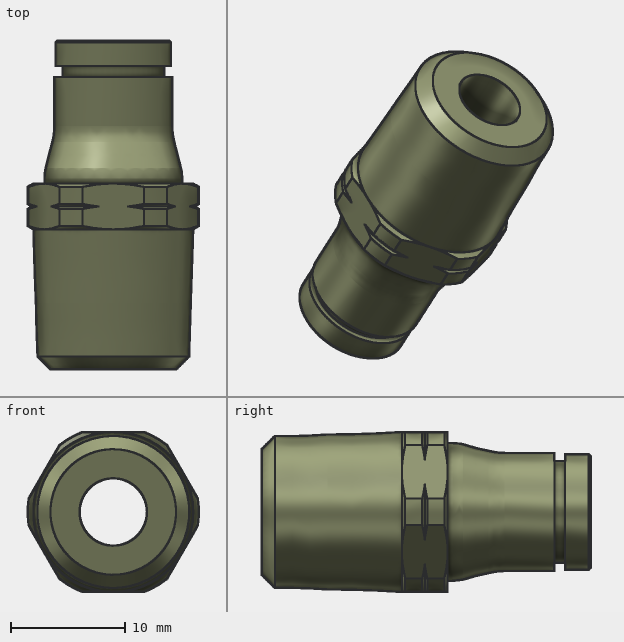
import cadquery as cq
import math

length = 28.8
bore_radius = 2.95

plug_end_radius = 5.5
plug_chamfer_radius = 6.65
plug_chamfer_y = plug_chamfer_radius - plug_end_radius
plug_middle_radius = 6.8
plug_middle_y = 5.8
plug_root_radius = 14.03 / 2

hex_start_y = 12.27
hex_width = 4.0
hex_end_y = hex_start_y + hex_width
hex_middle_y = hex_start_y + hex_width / 2
hex_across_flats = 14.0
hex_corner_radius = 15.0 / 2
hex_face_radius = hex_across_flats / 2
hex_corner_diameter = hex_across_flats / math.cos(math.pi / 6)
groove_root_radius = 7.1
chamfer_angle = 30
chamfer_slope = math.tan(math.radians(chamfer_angle))
hex_chamfer_width = (hex_corner_radius - hex_face_radius) * chamfer_slope
groove_half_width = (hex_corner_radius - groove_root_radius) * chamfer_slope

collar_radius = 6.05
collar_end_y = 16.7
cone_start_radius = 5.93
cone_start_y = 17.63
cone_end_radius = 5.35
cone_end_y = 19.87
sleeve_radius = 5.18
sleeve_start_y = 21.28
sleeve_end_y = 25.6

neck_radius = 4.45
ring_radius = 5.07
ring_start_y = 26.55
ring_chamfer = 0.2


def revolve_about_y(profile):
    return profile.close().revolve(360, (0, 0, 0), (0, 1, 0))


def make_turned_body():
    profile = (
        cq.Workplane("XY")
        .lineTo(plug_end_radius, 0)
        .lineTo(plug_chamfer_radius, plug_chamfer_y)
        .lineTo(plug_middle_radius, plug_middle_y)
        .lineTo(plug_root_radius, hex_start_y)
        .lineTo(collar_radius, hex_start_y)
        .lineTo(collar_radius, collar_end_y)
        .tangentArcPoint((cone_start_radius, cone_start_y), relative=False)
        .lineTo(cone_end_radius, cone_end_y)
        .tangentArcPoint((sleeve_radius, sleeve_start_y), relative=False)
        .lineTo(sleeve_radius, sleeve_end_y)
        .lineTo(neck_radius, sleeve_end_y)
        .lineTo(neck_radius, ring_start_y)
        .lineTo(ring_radius, ring_start_y)
        .lineTo(ring_radius, length - ring_chamfer)
        .lineTo(ring_radius - ring_chamfer, length)
        .lineTo(0, length)
    )
    return revolve_about_y(profile)


def make_hexagon():
    prism = (
        cq.Workplane("XZ", origin=(0, hex_start_y, 0))
        .polygon(6, hex_corner_diameter)
        .extrude(-hex_width)
    )
    envelope = (
        cq.Workplane("XY")
        .moveTo(0, hex_start_y)
        .lineTo(hex_face_radius, hex_start_y)
        .lineTo(hex_corner_radius, hex_start_y + hex_chamfer_width)
        .lineTo(hex_corner_radius, hex_middle_y - groove_half_width)
        .lineTo(groove_root_radius, hex_middle_y)
        .lineTo(hex_corner_radius, hex_middle_y + groove_half_width)
        .lineTo(hex_corner_radius, hex_end_y - hex_chamfer_width)
        .lineTo(hex_face_radius, hex_end_y)
        .lineTo(0, hex_end_y)
    )
    return prism.intersect(revolve_about_y(envelope))


bore = cq.Workplane("XZ").circle(bore_radius).extrude(-length)
result = make_turned_body().union(make_hexagon()).cut(bore)